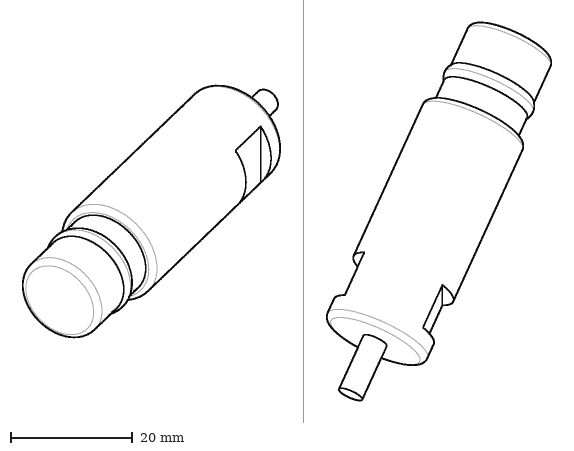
import cadquery as cq

total_length = 66.0
body_diameter = 18.0
nose_diameter = 15.0
nose_length = 15.0
cable_diameter = 4.2
cable_length = 10.05
edge_radius = 1.0

ring_diameter = 16.0
ring_section_radius = 2.0
ring_position = 9.3

flat_spacing = 14.0
flat_length = 8.0
flat_rear_margin = 3.6

body_length = total_length - nose_length - cable_length
body_end = nose_length + body_length


def cylinder_along_y(diameter, start, length):
    """Round bar on the Y axis, growing toward +Y from the start position."""
    plane = cq.Workplane("XZ", origin=(0, start, 0))
    return plane.circle(diameter / 2).extrude(-length)


def sealing_ring():
    """O-ring seated around the nose."""
    centre_radius = ring_diameter / 2 - ring_section_radius
    section = cq.Workplane("XY").center(centre_radius, ring_position).circle(ring_section_radius)
    return section.revolve(360, (-centre_radius, 0, 0), (-centre_radius, 1, 0))


def wrench_flat_cutter(side):
    """Block that removes the body beyond one flat; side is -1 or +1 along X."""
    flat_x = flat_spacing / 2
    centre_x = side * (flat_x + body_diameter / 2)
    centre_y = body_end - flat_rear_margin - flat_length / 2
    block = cq.Workplane("XY").box(body_diameter, flat_length, body_diameter)
    return block.translate((centre_x, centre_y, 0))


body = cylinder_along_y(body_diameter, nose_length, body_length).edges().fillet(edge_radius)
for side in (-1, 1):
    body = body.cut(wrench_flat_cutter(side))

nose = cylinder_along_y(nose_diameter, 0, nose_length).faces("<Y").edges().fillet(edge_radius)
cable = cylinder_along_y(cable_diameter, body_end, cable_length)

result = body.union(nose).union(cable).union(sealing_ring())